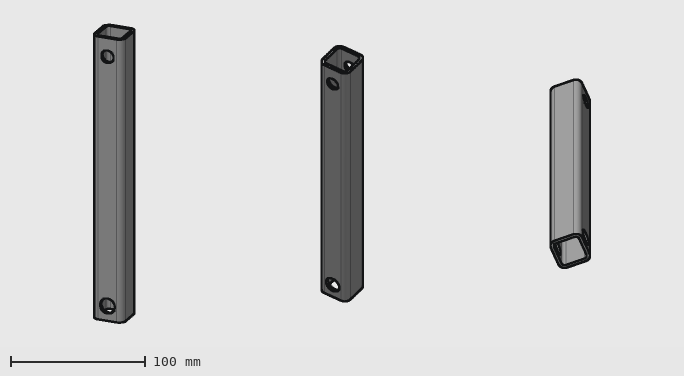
import cadquery as cq

tube_width = 25.0
tube_length = 227.0
wall = 2.5
outer_corner_radius = 5.0
inner_corner_radius = outer_corner_radius - wall

lower_hole_diameter = 12.0
lower_hole_height = 12.0
upper_hole_diameter = 10.0
upper_hole_height = tube_length - 15.0


def rounded_bar(width, corner_radius):
    """Square bar standing on Z = 0 with rounded vertical edges."""
    bar = cq.Workplane("XY").rect(width, width).extrude(tube_length)
    return bar.edges("|Z").fillet(corner_radius)


def cross_hole(diameter, height):
    """Cylinder along Y that passes through the whole tube width."""
    return (
        cq.Workplane("XZ")
        .center(0, height)
        .circle(diameter / 2)
        .extrude(tube_width, both=True)
    )


outer_bar = rounded_bar(tube_width, outer_corner_radius)
bore = rounded_bar(tube_width - 2 * wall, inner_corner_radius)
tube = outer_bar.cut(bore)

tube = tube.cut(cross_hole(lower_hole_diameter, lower_hole_height))
result = tube.cut(cross_hole(upper_hole_diameter, upper_hole_height))